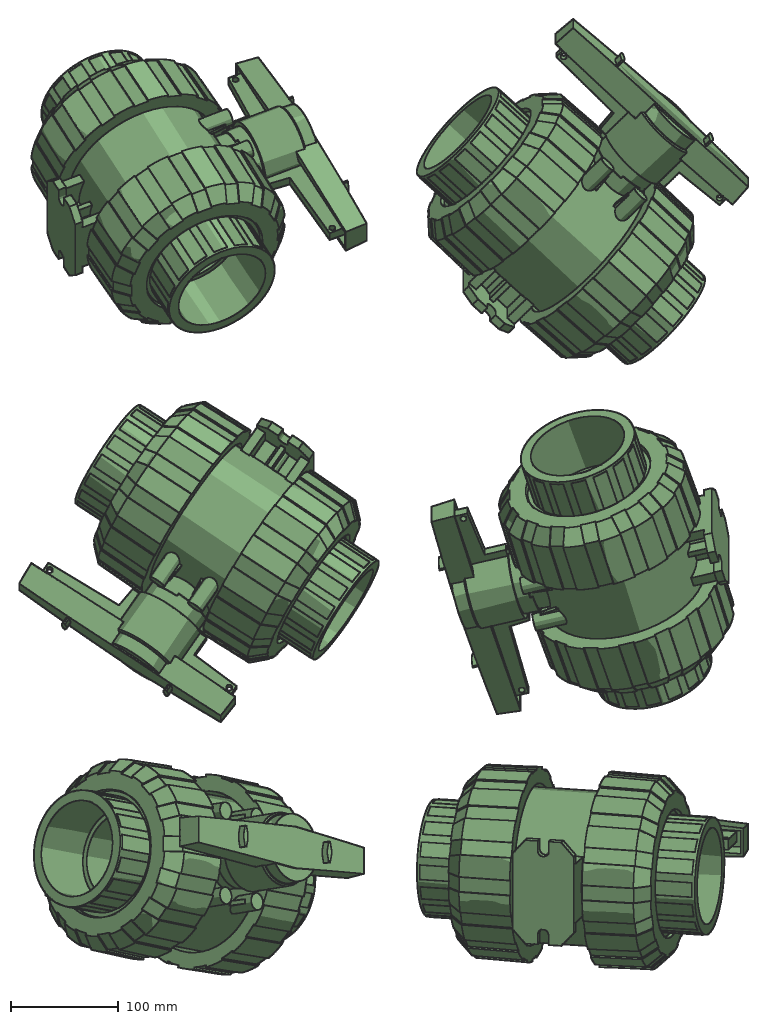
import cadquery as cq
import math

overall_length = 266.0
half_length = overall_length / 2

bore_dia = 80.0
socket_dia = 90.0
socket_depth = 56.5

pipe_dia = 109.3
pad_dia = 109.8
pad_count = 16
pad_width = 13.8
pad_end_x = 130.3
collar_dia = 118.0
collar_end_x = 93.0

body_dia = 144.0
body_end_x = 79.8

nut_inner_x = 34.5
nut_shoulder_x = 83.5
nut_face_x = 96.8
nut_dia = 182.0
nut_shoulder_dia = 179.7
nut_face_dia = 154.8
nut_bore_dia = 120.0
nut_thread_dia = 151.0
nut_groove_count = 16
nut_groove_width = 14.4
nut_groove_depth = 1.9

foot_outer_y = -100.2
foot_thickness = 7.7
foot_inner_y = foot_outer_y + foot_thickness
foot_half_width = 29.2
foot_half_height = 49.5
foot_corner_x = 12.0
foot_corner_z = 13.0
foot_slot_width = 10.5
foot_slot_depth = 14.5
leg_width = 9.3
leg_height = 56.5
cross_rib_thickness = 5.0
cross_rib_height = 39.4
foot_web_thickness = 4.0
foot_boss_dia = 14.4

boss_dia = 16.0
boss_x = 21.3
boss_z = 40.0
boss_top_y = 84.3
fin_thickness = 4.3
fin_root_y = 53.2
fin_root_x = 10.5
fin_top_y = 76.5
fin_top_x = 12.8
neck_dia = 57.5

stop_dia = 60.5
stop_bottom_y = 80.0
stop_notch_height = 2.7
stop_notch_width = 21.3

hub_bottom_y = 94.7
hub_dia = 69.0
hub_chamfer = 1.5
hub_top_y = 138.8
cap_dia = 64.0
cap_top_y = 151.0
cap_draft = 2.0
bar_left_x = -96.5
bar_right_x = 131.5
bar_open_y = 128.7
bar_top_y = 153.0
bar_end_top_y = 151.0
bar_mid_half_height = 21.0
bar_end_half_height = 13.5
bar_draft = 3.5
bar_wall = 2.7
web_thickness = 9.8
web_left_x = -90.5
web_right_x = 120.0
web_end_y = 117.8
web_hub_y = 115.0
gusset_half_width = 41.2
gusset_lean = 1.9
lock_hole_dia = 5.5
lock_hole_inset = 4.8
lock_hole_y = 122.8
stud_width = 5.5
stud_height = 19.7
stud_side_flat = 4.5
stud_end_flat = 1.9
stud_top_y = 159.0
stud_offset_x = 57.0


def x_cylinder(diameter, x_from, x_to):
    return cq.Workplane("YZ", origin=(x_from, 0, 0)).circle(diameter / 2).extrude(x_to - x_from)


def y_cylinder(diameter, y_from, y_to, x=0.0, z=0.0):
    base = cq.Workplane("XZ", origin=(x, y_from, z))
    return base.circle(diameter / 2).extrude(-(y_to - y_from))


def box(x_from, x_to, y_from, y_to, z_from, z_to):
    size = (x_to - x_from, y_to - y_from, z_to - z_from)
    return cq.Workplane().box(*size, centered=False).translate((x_from, y_from, z_from))


def slab(x_size, y_from, y_to, z_size, x=0.0):
    """Block centred on the X position and on Z = 0."""
    return box(x - x_size / 2, x + x_size / 2, y_from, y_to, -z_size / 2, z_size / 2)


def mirrored_pair(shape):
    return shape.union(shape.mirror("YZ"))


def nut_blank(depth):
    """Nut on the +X side, turned down by a depth below its ridges."""
    outline = [
        (nut_inner_x, 0),
        (nut_inner_x, nut_dia / 2 - depth),
        (nut_shoulder_x, nut_shoulder_dia / 2 - depth),
        (nut_face_x, nut_face_dia / 2 - depth),
        (nut_face_x, 0),
    ]
    return cq.Workplane("XY").polyline(outline).close().revolve(360, (0, 0, 0), (1, 0, 0))


def make_nut():
    half_width = nut_groove_width / 2
    spoke = box(0, half_length, 0, nut_dia, -half_width, half_width)
    spokes = cq.Workplane()
    for index in range(nut_groove_count):
        angle = index * 360 / nut_groove_count
        spokes = spokes.add(spoke.rotate((0, 0, 0), (1, 0, 0), angle))
    grooves = spokes.combine().cut(nut_blank(nut_groove_depth))
    thread_bore = x_cylinder(nut_thread_dia, nut_inner_x, body_end_x)
    face_bore = x_cylinder(nut_bore_dia, body_end_x, nut_face_x)
    return nut_blank(0).cut(grooves).cut(thread_bore).cut(face_bore)


def pipe_end():
    pipe = x_cylinder(pipe_dia, 0, half_length)
    half_width = pad_width / 2
    pad = box(collar_end_x, pad_end_x, 0, pad_dia, -half_width, half_width)
    pad = pad.intersect(x_cylinder(pad_dia, collar_end_x, pad_end_x))
    for index in range(pad_count):
        angle = index * 360 / pad_count
        pipe = pipe.union(pad.rotate((0, 0, 0), (1, 0, 0), angle))
    return pipe.union(x_cylinder(collar_dia, 0, collar_end_x))


def foot():
    plate = (
        cq.Workplane("XZ", origin=(0, foot_inner_y, 0))
        .rect(2 * foot_half_width, 2 * foot_half_height)
        .extrude(foot_thickness)
    )
    inner_x = foot_half_width - foot_corner_x
    inner_z = foot_half_height - foot_corner_z
    corner = (
        cq.Workplane("XZ", origin=(0, foot_inner_y, 0))
        .polyline(
            [
                (inner_x, foot_half_height),
                (foot_half_width, foot_half_height),
                (foot_half_width, inner_z),
            ]
        )
        .close()
        .extrude(foot_thickness)
    )
    corners = mirrored_pair(corner)
    slot_radius = foot_slot_width / 2
    slot_center_z = foot_half_height - foot_slot_depth + slot_radius
    slot = y_cylinder(foot_slot_width, foot_outer_y, foot_inner_y, z=slot_center_z).union(
        box(-slot_radius, slot_radius, foot_outer_y, foot_inner_y, slot_center_z, foot_half_height)
    )
    cuts = corners.union(slot)
    plate = plate.cut(cuts).cut(cuts.mirror("XY"))

    root_y = -bore_dia / 2 - leg_width
    leg_x = foot_half_width - leg_width / 2
    legs = mirrored_pair(slab(leg_width, foot_inner_y, root_y, leg_height, leg_x))
    cross_rib = slab(cross_rib_thickness, foot_inner_y, root_y, cross_rib_height)
    web = slab(2 * leg_x, foot_inner_y, root_y, foot_web_thickness)
    boss = y_cylinder(foot_boss_dia, foot_inner_y, root_y)
    return plate.union(legs).union(cross_rib).union(web).union(boss)


def bosses():
    """Four upright bosses, each with a fin on the side facing the neck."""
    boss = y_cylinder(boss_dia, 0, boss_top_y, boss_x, boss_z)
    fin = (
        cq.Workplane("XY", origin=(0, 0, boss_z))
        .polyline(
            [
                (boss_x, fin_root_y),
                (fin_root_x, fin_root_y),
                (fin_top_x, fin_top_y),
                (boss_x, fin_top_y),
            ]
        )
        .close()
        .extrude(fin_thickness / 2, both=True)
    )
    pair = mirrored_pair(boss.union(fin))
    return pair.union(pair.mirror("XY"))


def stop_disc():
    disc = y_cylinder(stop_dia, stop_bottom_y, hub_bottom_y)
    notch = box(0, stop_notch_width, stop_bottom_y, stop_bottom_y + stop_notch_height, 0, stop_dia)
    opposite_notch = notch.rotate((0, 0, 0), (0, 1, 0), 180)
    return disc.cut(notch).cut(opposite_notch)


def drafted_block(left_x, right_x, end_half_height, mid_half_height, top_y):
    """Block narrowing towards +Y, with its own half heights at the hub and at both ends."""
    outline = [
        (left_x, -end_half_height),
        (0, -mid_half_height),
        (right_x, -end_half_height),
        (right_x, end_half_height),
        (0, mid_half_height),
        (left_x, end_half_height),
    ]
    return (
        cq.Workplane("XZ", origin=(0, bar_open_y, 0))
        .polyline(outline)
        .close()
        .extrude(-(top_y - bar_open_y), taper=bar_draft)
    )


def handle_bar():
    """Hollow bar, open towards the body, with a crowned top and walls thickening to the hub."""
    bar = drafted_block(
        bar_left_x, bar_right_x, bar_end_half_height, bar_mid_half_height, bar_top_y
    )
    cavity_half_height = bar_end_half_height - bar_wall
    cavity = drafted_block(
        bar_left_x + bar_wall,
        bar_right_x - bar_wall,
        cavity_half_height,
        cavity_half_height,
        bar_end_top_y - bar_wall,
    )
    crown = (
        cq.Workplane("XY")
        .moveTo(bar_left_x, bar_open_y)
        .lineTo(bar_left_x, bar_end_top_y)
        .threePointArc(((bar_left_x + bar_right_x) / 2, bar_top_y), (bar_right_x, bar_end_top_y))
        .lineTo(bar_right_x, bar_open_y)
        .close()
        .extrude(bar_mid_half_height, both=True)
    )
    return bar.intersect(crown).cut(cavity)


def handle_web():
    outline = [
        (web_left_x, bar_end_top_y - bar_wall),
        (web_left_x, web_end_y),
        (-gusset_half_width, web_hub_y),
        (-gusset_half_width, hub_bottom_y),
        (gusset_half_width, hub_bottom_y),
        (gusset_half_width + gusset_lean, web_hub_y),
        (web_right_x, web_end_y),
        (web_right_x, bar_end_top_y - bar_wall),
    ]
    web = cq.Workplane("XY").polyline(outline).close().extrude(web_thickness / 2, both=True)
    hole_places = [
        (web_left_x + lock_hole_inset, lock_hole_y),
        (web_right_x - lock_hole_inset, lock_hole_y),
    ]
    holes = cq.Workplane("XY").pushPoints(hole_places).circle(lock_hole_dia / 2)
    return web.cut(holes.extrude(web_thickness, both=True))


def studs():
    """Two studs of long octagonal section standing on the outer face of the bar."""
    bar_center_x = (bar_left_x + bar_right_x) / 2
    half_width = stud_width / 2
    half_height = stud_height / 2
    side = stud_side_flat / 2
    end = stud_end_flat / 2
    section = [
        (-half_width, -side),
        (-end, -half_height),
        (end, -half_height),
        (half_width, -side),
        (half_width, side),
        (end, half_height),
        (-end, half_height),
        (-half_width, side),
    ]
    root_y = bar_end_top_y
    stud = cq.Workplane("XZ").polyline(section).close().extrude(-(stud_top_y - root_y))
    left = stud.translate((bar_center_x - stud_offset_x, root_y, 0))
    right = stud.translate((bar_center_x + stud_offset_x, root_y, 0))
    return left.union(right)


def handle():
    hub = y_cylinder(hub_dia, hub_bottom_y, hub_top_y).faces(">Y").chamfer(hub_chamfer)
    cap = (
        cq.Workplane("XZ", origin=(0, hub_top_y, 0))
        .circle(cap_dia / 2)
        .extrude(-(cap_top_y - hub_top_y), taper=cap_draft)
    )
    return handle_bar().union(handle_web()).union(hub).union(cap).union(studs())


def make_valve():
    valve = x_cylinder(body_dia, -body_end_x, body_end_x)
    valve = valve.union(mirrored_pair(pipe_end()))
    valve = valve.union(foot())
    valve = valve.union(y_cylinder(neck_dia, 0, hub_bottom_y))
    valve = valve.union(bosses()).union(stop_disc()).union(handle())
    socket = x_cylinder(socket_dia, half_length - socket_depth, half_length)
    return valve.cut(x_cylinder(bore_dia, -half_length, half_length)).cut(mirrored_pair(socket))


valve = make_valve()
nuts = []
for turn in (0, 180):
    nuts.append(make_nut().rotate((0, 0, 0), (0, 0, 1), turn).val())

result = cq.Compound.makeCompound([valve.val(), *nuts])